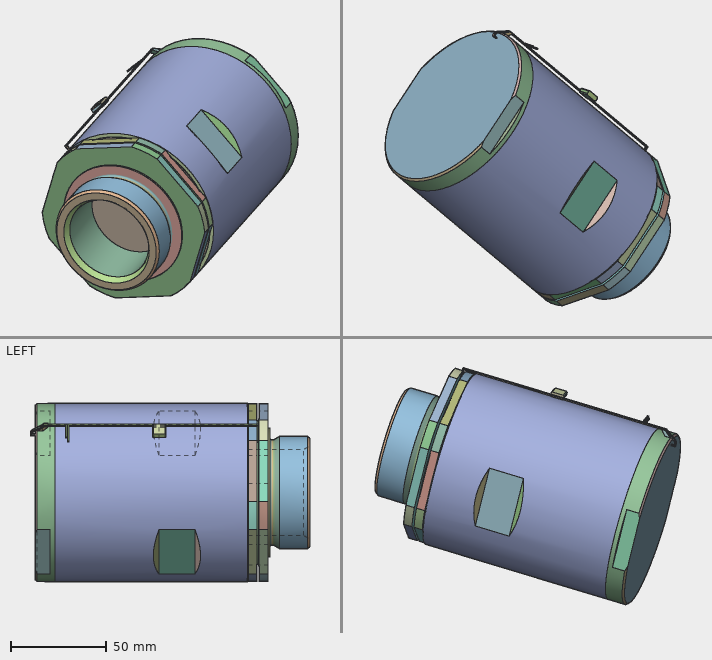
import cadquery as cq

BODY_DIAMETER = 94.0
BODY_RADIUS = BODY_DIAMETER / 2
FLAT_DISTANCE = 44.0
BORE_RADIUS = 22.6
WRENCH_ANGLES = (45, 225)
HEX_ANGLES = range(45, 405, 60)
SELECT_MARGIN = 0.1
CUTTER_MARGIN = 1.5

THREAD_RADIUS = 29.7
THREAD_CHAMFER_LENGTH = 1.5
THREAD_CHAMFER_DEPTH = 1.2
THREAD_END_Y = 16.0
NECK_RADIUS = 27.8
NECK_START_Y = 19.0
NECK_FILLET = 1.5
COLLAR_FILLET = 0.9
COLLAR_RADIUS = 34.0
COLLAR_FRONT_Y = 21.0
FLANGE_FRONT_Y = 22.0
GAP_FRONT_Y = 26.8
RIM_RADIUS = 38.7
RIM_BACK_Y = 27.2
WAIST_RADIUS = 37.8
REAR_FLANGE_FRONT_Y = 28.0
NIPPLE_BACK_Y = 32.5
MOUTH_RADIUS = 24.5
MOUTH_DEPTH = 3.4

STEP_RADIUS = 45.0
STEP_LENGTH = 0.5
HOUSING_BACK_Y = 134.2
POCKET_FRONT_Y = 60.5
POCKET_BACK_Y = 79.4

CAP_BACK_Y = 144.5
CAP_CHAMFER = 1.0
CAP_FLAT_FRONT_Y = 136.7

STRAP_WIDTH = 1.3
STRAP_THICKNESS = 0.66
STRAP_OUTER_RADIUS = 50.5
STRAP_BEND_Y = 140.0
HOOK_TOP_Y = 147.0
HOOK_SHOULDER_Y = 145.8
HOOK_SHOULDER_RADIUS = 45.9
HOOK_OUTER_RADIUS = 44.7
HOOK_INNER_RADIUS = 43.0
CLIP_WIDTH = 2.8
CLIP_FRONT_Y = 137.8
CLIP_FOOT_Y = 140.5
CLIP_BACK_Y = 143.3
PRONGS = ((126.7, 12.0), (127.9, 9.1))
PRONG_WIDTH = 0.7

SEAL_FRONT_Y = 75.7
SEAL_WIDTH = 7.2
SEAL_REACH = 8.4
SEAL_THICKNESS = 2.6
SEAL_CHAMFER = 0.6

STRAP_MID_RADIUS = STRAP_OUTER_RADIUS - STRAP_THICKNESS / 2


def revolve_profile(points):
    """Turn (radius, y) points about the Y axis."""
    return cq.Workplane("XY").polyline(points).close().revolve(360, (0, 0, 0), (0, 1, 0))


def ring_selector(radius, y):
    """Select the edges lying on one circle about the Y axis, or inside it at the same y."""
    reach = radius + SELECT_MARGIN
    return cq.selectors.BoxSelector(
        (-reach, y - SELECT_MARGIN, -reach), (reach, y + SELECT_MARGIN, reach), boundingbox=True
    )


def flat_cutter(angle, front_y, back_y, end_slope=0.0):
    """Block lying outside one wrench flat; its ends lean outwards by end_slope per unit of depth."""
    depth = BODY_RADIUS - FLAT_DISTANCE + CUTTER_MARGIN
    spread = depth * end_slope
    outer_radius = FLAT_DISTANCE + depth
    points = [
        (FLAT_DISTANCE, front_y),
        (outer_radius, front_y - spread),
        (outer_radius, back_y + spread),
        (FLAT_DISTANCE, back_y),
    ]
    cutter = cq.Workplane("XY").polyline(points).close().extrude(BODY_RADIUS, both=True)
    return cutter.rotate((0, 0, 0), (0, 1, 0), -angle)


def cut_flats(body, angles, front_y, back_y, end_slope=0.0):
    for angle in angles:
        body = body.cut(flat_cutter(angle, front_y, back_y, end_slope))
    return body


def make_nipple():
    """Threaded nipple with an undercut neck, a collar and two hexagonal flanges."""
    body = revolve_profile([
        (MOUTH_RADIUS, 0),
        (THREAD_RADIUS - THREAD_CHAMFER_DEPTH, 0),
        (THREAD_RADIUS, THREAD_CHAMFER_LENGTH),
        (THREAD_RADIUS, THREAD_END_Y),
        (NECK_RADIUS, NECK_START_Y),
        (NECK_RADIUS, COLLAR_FRONT_Y),
        (COLLAR_RADIUS, COLLAR_FRONT_Y),
        (COLLAR_RADIUS, FLANGE_FRONT_Y),
        (BODY_RADIUS, FLANGE_FRONT_Y),
        (BODY_RADIUS, GAP_FRONT_Y),
        (RIM_RADIUS, GAP_FRONT_Y),
        (RIM_RADIUS, RIM_BACK_Y),
        (WAIST_RADIUS, RIM_BACK_Y),
        (WAIST_RADIUS, REAR_FLANGE_FRONT_Y),
        (BODY_RADIUS, REAR_FLANGE_FRONT_Y),
        (BODY_RADIUS, NIPPLE_BACK_Y),
        (BORE_RADIUS, NIPPLE_BACK_Y),
        (BORE_RADIUS, MOUTH_DEPTH),
    ])
    body = body.edges(ring_selector(NECK_RADIUS, NECK_START_Y)).fillet(NECK_FILLET)
    body = body.edges(ring_selector(NECK_RADIUS, COLLAR_FRONT_Y)).fillet(COLLAR_FILLET)
    return cut_flats(body, HEX_ANGLES, FLANGE_FRONT_Y, NIPPLE_BACK_Y)


def make_housing():
    """Solid barrel with a low step against the nipple and two wrench pockets."""
    step_back_y = NIPPLE_BACK_Y + STEP_LENGTH
    body = revolve_profile([
        (0, NIPPLE_BACK_Y),
        (STEP_RADIUS, NIPPLE_BACK_Y),
        (STEP_RADIUS, step_back_y),
        (BODY_RADIUS, step_back_y),
        (BODY_RADIUS, HOUSING_BACK_Y),
        (0, HOUSING_BACK_Y),
    ])
    return cut_flats(body, WRENCH_ANGLES, POCKET_FRONT_Y, POCKET_BACK_Y, end_slope=1.0)


def make_cap():
    """End cap with a chamfered back rim and two wrench flats."""
    body = revolve_profile([
        (0, HOUSING_BACK_Y),
        (BODY_RADIUS, HOUSING_BACK_Y),
        (BODY_RADIUS, CAP_BACK_Y - CAP_CHAMFER),
        (BODY_RADIUS - CAP_CHAMFER, CAP_BACK_Y),
        (0, CAP_BACK_Y),
    ])
    return cut_flats(body, WRENCH_ANGLES, CAP_FLAT_FRONT_Y, CAP_BACK_Y)


def tie_plane():
    """Plane through the strap centre: local x runs along Y, local y is the distance from the axis."""
    return cq.Workplane(cq.Plane(origin=(0, 0, 0), xDir=(0, 1, 0), normal=(1, 0, 1)))


def make_tie():
    """Strap hooked into the gap between the flanges at one end and over the back of the cap at the other."""
    half = STRAP_THICKNESS / 2
    gap_y = RIM_BACK_Y + half
    hook_y = HOOK_TOP_Y - half
    centreline = [
        (gap_y, WAIST_RADIUS + half),
        (gap_y, STRAP_MID_RADIUS),
        (STRAP_BEND_Y, STRAP_MID_RADIUS),
        (HOOK_SHOULDER_Y, HOOK_SHOULDER_RADIUS),
        (hook_y, HOOK_OUTER_RADIUS),
        (hook_y, HOOK_INNER_RADIUS),
        (CAP_BACK_Y + half, HOOK_INNER_RADIUS),
    ]
    strap = tie_plane().polyline(centreline).offset2D(half).extrude(STRAP_WIDTH / 2, both=True)

    clip_outline = [
        (CLIP_FRONT_Y, STRAP_MID_RADIUS),
        (CLIP_FOOT_Y, BODY_RADIUS),
        (CLIP_BACK_Y, BODY_RADIUS),
        (STRAP_BEND_Y, STRAP_MID_RADIUS),
    ]
    clip = tie_plane().polyline(clip_outline).close().extrude(CLIP_WIDTH / 2, both=True)

    tie = strap.union(clip)
    for front_y, length in PRONGS:
        corner = tie_plane().moveTo(front_y, STRAP_MID_RADIUS - half)
        prong = corner.rect(PRONG_WIDTH, STRAP_THICKNESS, centered=False).extrude(-length)
        tie = tie.union(prong)
    return tie


def make_seal():
    """Block with bevelled edges along its length, resting against the side of the strap."""
    seal_mid_y = SEAL_FRONT_Y + SEAL_WIDTH / 2
    block = (
        tie_plane()
        .workplane(offset=-SEAL_REACH)
        .center(seal_mid_y, STRAP_OUTER_RADIUS)
        .rect(SEAL_WIDTH, SEAL_THICKNESS)
        .extrude(SEAL_REACH - STRAP_WIDTH / 2)
    )
    return block.edges("|(1, 0, 1)").chamfer(SEAL_CHAMFER)


nipple = make_nipple()
housing = make_housing()
cap = make_cap()
tie = make_tie()
seal = make_seal()

result = cq.Compound.makeCompound([nipple.val(), housing.val(), cap.val(), tie.val(), seal.val()])